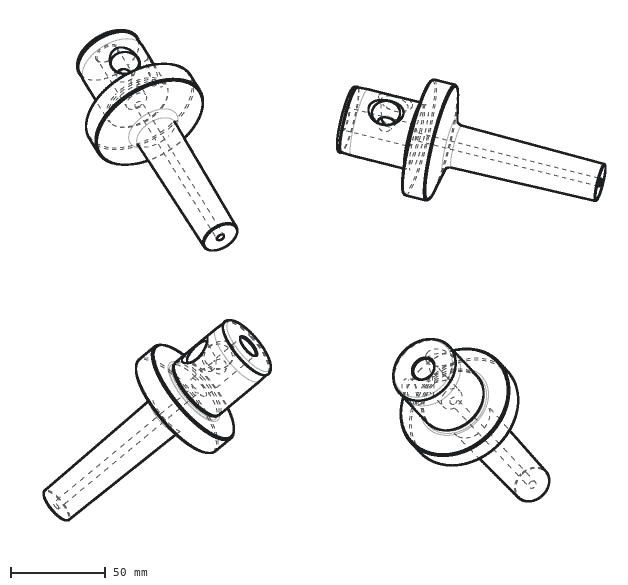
import cadquery as cq
import math

total_length = 140.0
flange_start = 39.9
flange_rim_end = 52.8

spigot_radius = 18.0
nose_round_length = 1.7
nose_round_height = 1.3
relief_depth = 0.4
relief_start = 2.1
relief_end = 2.5
relief_ramp_depth = 0.3
lead_in_end = 7.7

undercut_start = 37.2
undercut_floor_start = 38.2
undercut_radius = 17.6
undercut_outer_radius = 19.7
undercut_face_depth = 0.3
undercut_corner = 0.8

flange_radius = 31.5
flange_chamfer = 0.7
cone_angle = 15.0
cone_fillet = 3.9

shank_start_radius = 11.5
shank_end_radius = 10.1
shank_chamfer = 0.4

bore_radius = 6.0
bore_mouth_radius = 6.6
bore_cone_start = 36.4
bore_tip_angle = 118.0
coolant_radius = 2.1

clamp_x = 22.1
clamp_tilts = (0, -90)
clamp_sink_radius = 9.4
clamp_mouth_radius = 7.4
clamp_inner_radius = 4.3


def make_blank():
    """Revolve the outer profile of the adapter about the X axis."""
    relief_radius = spigot_radius - relief_depth
    undercut_deepest = flange_start + undercut_face_depth
    undercut_floor_end = undercut_deepest - undercut_corner
    corner_mid = (
        undercut_floor_end + undercut_corner * math.sin(math.pi / 4),
        undercut_radius + undercut_corner * (1 - math.cos(math.pi / 4)),
    )
    cone_slope = math.radians(cone_angle)
    rim_edge_radius = flange_radius - flange_chamfer
    meeting_x = flange_rim_end + (rim_edge_radius - shank_start_radius) * math.tan(cone_slope)
    setback = cone_fillet * math.tan((math.pi / 2 - cone_slope) / 2)
    cone_end = (
        meeting_x - setback * math.sin(cone_slope),
        shank_start_radius + setback * math.cos(cone_slope),
    )
    shank_start = (meeting_x + setback, shank_start_radius)
    return (
        cq.Workplane("XY")
        .lineTo(0, spigot_radius - nose_round_height)
        .radiusArc((nose_round_length, spigot_radius), nose_round_length)
        .lineTo(relief_start, relief_radius)
        .lineTo(relief_end, spigot_radius - relief_ramp_depth)
        .lineTo(lead_in_end, spigot_radius)
        .lineTo(undercut_start, spigot_radius)
        .lineTo(undercut_floor_start, undercut_radius)
        .lineTo(undercut_floor_end, undercut_radius)
        .threePointArc(corner_mid, (undercut_deepest, undercut_radius + undercut_corner))
        .lineTo(flange_start, undercut_outer_radius)
        .lineTo(flange_start, rim_edge_radius)
        .lineTo(flange_start + flange_chamfer, flange_radius)
        .lineTo(flange_rim_end - flange_chamfer, flange_radius)
        .lineTo(flange_rim_end, rim_edge_radius)
        .lineTo(*cone_end)
        .radiusArc(shank_start, -cone_fillet)
        .lineTo(total_length - shank_chamfer, shank_end_radius)
        .lineTo(total_length, shank_end_radius - shank_chamfer)
        .lineTo(total_length, 0)
        .close()
        .revolve(360, (0, 0, 0), (1, 0, 0))
    )


def make_axial_bore():
    """Bore with a chamfered mouth and a drill-point cone down to the coolant channel."""
    mouth_chamfer = bore_mouth_radius - bore_radius
    tip_length = (bore_radius - coolant_radius) / math.tan(math.radians(bore_tip_angle / 2))
    return (
        cq.Workplane("XY")
        .lineTo(0, bore_mouth_radius)
        .lineTo(mouth_chamfer, bore_radius)
        .lineTo(bore_cone_start, bore_radius)
        .lineTo(bore_cone_start + tip_length, coolant_radius)
        .lineTo(total_length, coolant_radius)
        .lineTo(total_length, 0)
        .close()
        .revolve(360, (0, 0, 0), (1, 0, 0))
    )


def make_clamp_hole(tilt):
    """Tapered hole from the spigot surface into the bore, with a 45 degree countersink.

    The tilt turns the hole about the X axis, starting from +Z.
    """
    sink_bottom = spigot_radius - (clamp_sink_radius - clamp_mouth_radius)
    return (
        cq.Workplane("XZ")
        .lineTo(clamp_inner_radius, 0)
        .lineTo(clamp_inner_radius, bore_radius)
        .lineTo(clamp_mouth_radius, sink_bottom)
        .lineTo(clamp_sink_radius, spigot_radius)
        .lineTo(0, spigot_radius)
        .close()
        .revolve(360, (0, 0, 0), (0, 1, 0))
        .rotate((0, 0, 0), (1, 0, 0), tilt)
        .translate((clamp_x, 0, 0))
    )


adapter = make_blank().cut(make_axial_bore())
for clamp_tilt in clamp_tilts:
    adapter = adapter.cut(make_clamp_hole(clamp_tilt))

result = cq.Compound.makeCompound([adapter.val()])